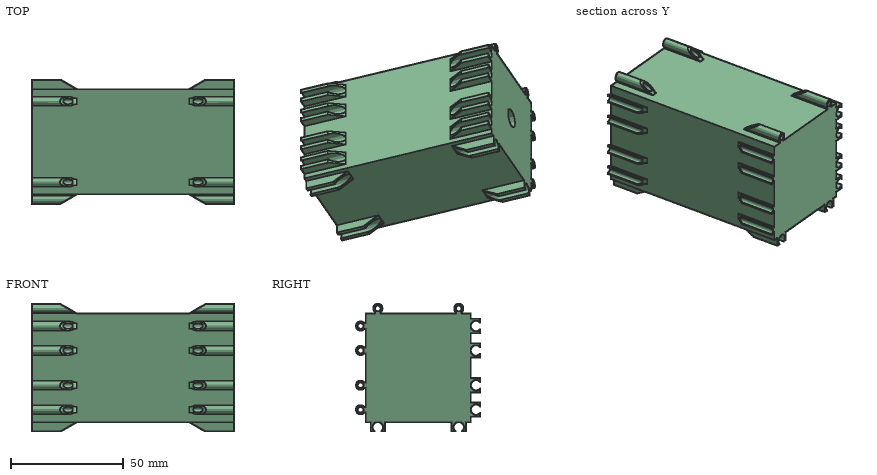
import cadquery as cq
import math

body_length = 90.0
body_width = 46.9
body_height = 48.4

end_hole_diameter = 8.3
end_hole_depth = 3.6

foot_length = 20.0
slope_angle = 30.0
axis_height = 2.25
sink = 0.9

tube_diameter = 4.1
tube_bore_diameter = 2.5
web_width = 2.5

clip_width = 6.5
clip_height = 4.05
clip_groove_diameter = 4.6

width_row = 18.0
inner_height_row = 7.7
height_row_pitch = 10.9
outer_height_row = inner_height_row + height_row_pitch
width_rows = (-width_row, width_row)
height_rows = (-outer_height_row, -inner_height_row, inner_height_row, outer_height_row)

TURN_TO_TOP = 0
TURN_TO_BOTTOM = 180
TURN_TO_FRONT = 90
TURN_TO_BACK = -90


def bar(width, height):
    """Rectangular bar from inside the body up to the given height above the face."""
    corner = (0, -width / 2, -sink)
    return cq.Workplane("XY", origin=corner).box(foot_length, width, height + sink, centered=False)


def rod(diameter):
    """Cylinder along the tube or clip axis."""
    return cq.Workplane("YZ").center(0, axis_height).circle(diameter / 2).extrude(foot_length)


def sloped_envelope(height):
    """Block of the given height whose inner end slopes down to the body face."""
    slope_run = height / math.tan(math.radians(slope_angle))
    return (
        cq.Workplane("XZ")
        .moveTo(0, -sink)
        .lineTo(foot_length, -sink)
        .lineTo(foot_length, 0)
        .lineTo(foot_length - slope_run, height)
        .lineTo(0, height)
        .close()
        .extrude(clip_width, both=True)
    )


def make_tube():
    """Bored tube standing on a narrow web."""
    web = bar(web_width, axis_height)
    tube = web.union(rod(tube_diameter)).cut(rod(tube_bore_diameter))
    return tube.intersect(sloped_envelope(axis_height + tube_diameter / 2))


def make_clip():
    """Solid clip block; its groove is cut after it joins the body."""
    return bar(clip_width, clip_height).intersect(sloped_envelope(clip_height))


def at_both_ends(shape, turn, face_distance, row):
    """Put a shape on a body face at the -X end and mirror it to the +X end."""
    placed = shape.translate((-body_length / 2, row, face_distance)).rotate((0, 0, 0), (1, 0, 0), turn)
    return placed.union(placed.mirror("YZ"))


def add_face_pair(part, tube_turn, clip_turn, face_distance, rows):
    """Add rows of tubes to one face and rows of clips to the opposite face."""
    for row in rows:
        part = part.union(at_both_ends(make_tube(), tube_turn, face_distance, row))
        part = part.union(at_both_ends(make_clip(), clip_turn, face_distance, row))
        part = part.cut(at_both_ends(rod(clip_groove_diameter), clip_turn, face_distance, row))
    return part


def cut_end_hole(part):
    """Sink the blind hole into the -X end."""
    hole = (
        cq.Workplane("YZ", origin=(-body_length / 2, 0, 0))
        .circle(end_hole_diameter / 2)
        .extrude(end_hole_depth)
    )
    return part.cut(hole)


result = cq.Workplane("XY").box(body_length, body_width, body_height)
result = add_face_pair(result, TURN_TO_TOP, TURN_TO_BOTTOM, body_height / 2, width_rows)
result = add_face_pair(result, TURN_TO_FRONT, TURN_TO_BACK, body_width / 2, height_rows)
result = cut_end_hole(result)